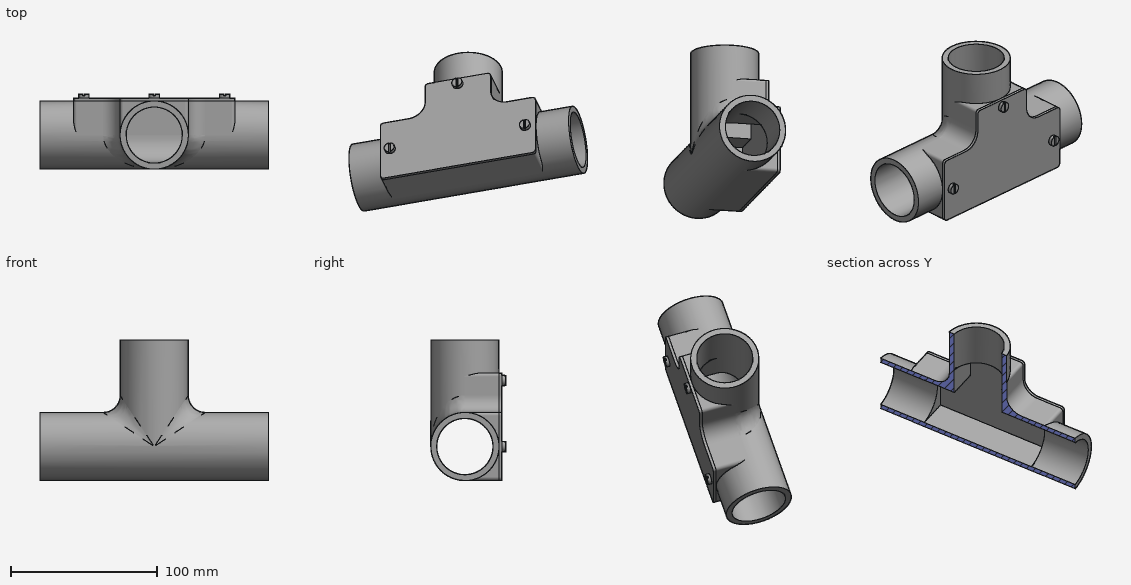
import cadquery as cq
import math


overall_depth = 51.1
overall_height = 96.0

tube_radius = 23.25
bore_radius = 19.1
run_length = 156.0
branch_top = overall_height - tube_radius
flare_radius = 11.5
flare_center = tube_radius + flare_radius
flare_middle = flare_center - flare_radius * math.sqrt(0.5)

chamber_half_length = 55.0
chamber_top = 50.0
chamber_corner_radius = 2.3
chamber_back = tube_radius

seal_thickness = 1.0
plate_thickness = 1.0
cover_back = chamber_back + seal_thickness + plate_thickness

screw_spacing = 48.0
screw_height = 45.0
head_diameter = 7.2
head_height = overall_depth - tube_radius - cover_back
slot_width = 1.2
slot_depth = 1.0
shank_diameter = 3.0
shank_depth = 3.0
screw_places = [(-screw_spacing, 0), (screw_spacing, 0), (0, screw_height)]

screw_pad_margin = 5.0
opening_half_length = screw_spacing - screw_pad_margin
opening_top = screw_height - screw_pad_margin

flare_sections = 9
flare_end_scale = 0.03


def back_plane(y):
    """XZ plane at depth y whose local axes are X and Z; extrude a negative length for +Y."""
    return cq.Workplane("XZ", origin=(0, y, 0))


def bar(x_min, x_max, z_min, z_max, y, depth):
    """Rectangular bar spanning the given X and Z limits, from y backward by depth."""
    block = cq.Workplane("XY").box(x_max - x_min, depth, z_max - z_min, centered=False)
    return block.translate((x_min, y, z_min))


def tee_slab(y, depth):
    """Tee-shaped slab with rounded outer corners and flared inner corners."""
    corner = chamber_corner_radius
    bend = corner * (1 - math.sqrt(0.5))
    half = chamber_half_length
    side = tube_radius
    right_half = (
        back_plane(y)
        .moveTo(0, -side)
        .lineTo(half - corner, -side)
        .threePointArc((half - bend, -side + bend), (half, -side + corner))
        .lineTo(half, side - corner)
        .threePointArc((half - bend, side - bend), (half - corner, side))
        .lineTo(flare_center, side)
        .threePointArc((flare_middle, flare_middle), (side, flare_center))
        .lineTo(side, chamber_top - corner)
        .threePointArc((side - bend, chamber_top - bend), (side - corner, chamber_top))
        .lineTo(0, chamber_top)
    )
    return right_half.mirrorY().extrude(-depth)


def flare_section(scale):
    """Section of the right flare, shrunk toward the Y axis as the tubes narrow at the front."""
    y = -tube_radius * math.sqrt(1 - scale ** 2)
    near = tube_radius * scale
    far = flare_center * scale
    middle = flare_middle * scale
    outline = (
        back_plane(y)
        .moveTo(0, 0)
        .lineTo(far, near)
        .threePointArc((middle, middle), (near, far))
        .close()
    )
    return outline.val()


def make_flare():
    """Blend in front of the chamber, from full size at y = 0 to a point at the tube front."""
    end_angle = math.acos(flare_end_scale)
    scales = [math.cos(end_angle * i / (flare_sections - 1)) for i in range(flare_sections)]
    return cq.Workplane(cq.Solid.makeLoft([flare_section(scale) for scale in scales]))


def run_cylinder(radius):
    return cq.Workplane("YZ").circle(radius).extrude(run_length / 2, both=True)


def branch_cylinder(radius):
    return cq.Workplane("XY").circle(radius).extrude(branch_top)


def screw_cylinders(diameter, y_front, y_back):
    """One cylinder along Y at each screw place."""
    return back_plane(y_front).pushPoints(screw_places).circle(diameter / 2).extrude(y_front - y_back)


def make_housing():
    flare = make_flare()
    body = (
        run_cylinder(tube_radius)
        .union(branch_cylinder(tube_radius))
        .union(flare)
        .union(flare.mirror("YZ"))
        .union(tee_slab(0, chamber_back))
    )
    run_opening = bar(-opening_half_length, opening_half_length, -bore_radius, bore_radius, 0, chamber_back)
    branch_opening = bar(-bore_radius, bore_radius, 0, opening_top, 0, chamber_back)
    return (
        body.cut(run_cylinder(bore_radius))
        .cut(branch_cylinder(bore_radius))
        .cut(run_opening)
        .cut(branch_opening)
        .cut(screw_cylinders(shank_diameter, chamber_back - shank_depth, chamber_back))
    )


def make_cover():
    """Seal and plate as one solid; the joint line between the two layers is kept."""
    seal = tee_slab(chamber_back, seal_thickness)
    plate = tee_slab(chamber_back + seal_thickness, plate_thickness)
    holes = screw_cylinders(shank_diameter, chamber_back, cover_back)
    return seal.union(plate, clean=False).cut(holes, clean=False)


def make_screw(x, z):
    """Slotted cheese-head screw with its head on the back of the cover."""
    head_back = cover_back + head_height
    head = back_plane(cover_back).circle(head_diameter / 2).extrude(-head_height)
    shank_front = chamber_back - shank_depth
    shank = back_plane(shank_front).circle(shank_diameter / 2).extrude(shank_front - cover_back)
    slot = bar(
        -slot_width / 2, slot_width / 2, -head_diameter, head_diameter, head_back - slot_depth, slot_depth
    )
    return head.union(shank).cut(slot).translate((x, 0, z))


housing = make_housing()
cover = make_cover()
screws = [make_screw(x, z) for x, z in screw_places]

result = cq.Compound.makeCompound([
    housing.solids().val(),
    cover.solids().val(),
    *[screw.solids().val() for screw in screws],
])